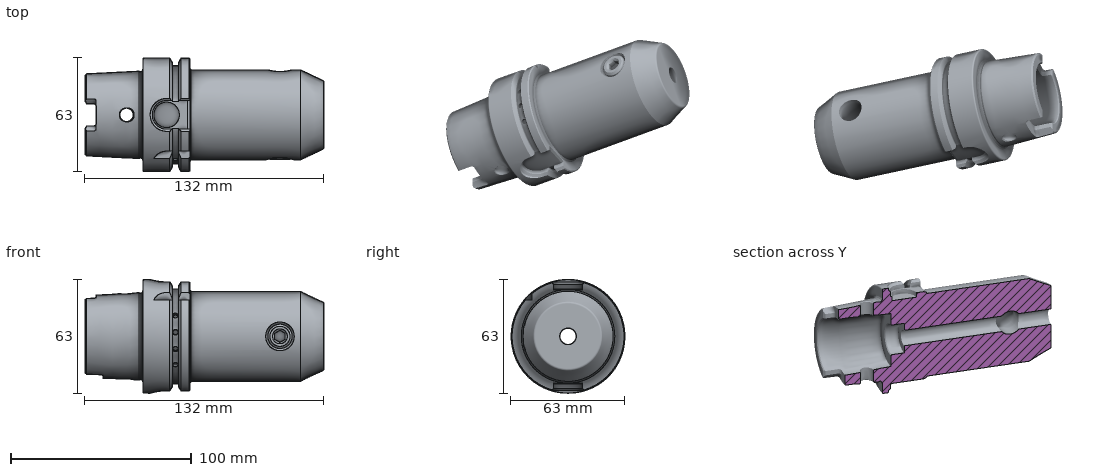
import cadquery as cq
import math


SHANK_END_RADIUS = 22.7
SHANK_SLOPE = 0.05
SHANK_CHAMFER = 0.8
UNDERCUT_START = 29.8
UNDERCUT_X = 30.8
UNDERCUT_RADIUS = 23.8
SHANK_FOOT_X = 31.5
SHANK_FOOT_RADIUS = 24.4
SHANK_FOOT_OUTER_RADIUS = 25.3

FLANGE_START = 32.0
FLANGE_END = 57.8
FLANGE_DIAMETER = 63.0
FLANGE_RADIUS = FLANGE_DIAMETER / 2
FLANGE_FILLET = 0.8
FLANGE_BACK_CHAMFER = 0.5

GROOVE_CENTRE = 49.9
GROOVE_FLOOR_WIDTH = 3.2
GROOVE_TOP_WIDTH = 6.3
GROOVE_RADIUS = 27.3
GROOVE_SLOPE_RADIUS = 28.8

COLLAR_RADIUS = 25.9
COLLAR_LENGTH = 0.8
BODY_RADIUS = 25.0
NOSE_START = 118.9
NOSE_RADIUS = 18.7
NOSE_EDGE_RADIUS = 1.2
TOTAL_LENGTH = 132.0

BORE_RADIUS = 16.9
BORE_STRAIGHT = 12.8
BORE_FLOOR_RADIUS = 15.7
BORE_DEPTH = 37.0
BORE_CHAMFER = 0.5
TUBE_SEAT_RADIUS = 9.2
TUBE_SEAT_DEPTH = 7.9
TUBE_SEAT_CHAMFER = 0.5
COOLANT_RADIUS = 4.5

SLOT_WIDTH = 12.3
SLOT_HALF_WIDTH = SLOT_WIDTH / 2
SLOT_FLARE_HEIGHT = 18.3
SLOT_CORNER_RADIUS = 1.6
SLOT_TOP_DEPTH = 6.1
SLOT_BOTTOM_DEPTH = 9.9
SLOT_MOUTH_WIDENING = 1.3
SLOT_MOUTH_LENGTH = 0.8

ACCESS_X = 22.8
ACCESS_RADIUS = 3.7
ACCESS_CHAMFER = 0.5

KEYWAY_X = 45.0
KEYWAY_HALF_WIDTH = 7.9
KEYWAY_FLOOR = 26.3
KEYWAY_CHAMFER = 1.2
KEYWAY_CHAMFER_HEIGHT = 28.8
KEYWAY_BEVEL_LENGTH = 1.3
KEYWAY_BEVEL_DROP = 0.5
CHIP_DIAMETER = 14.1
CHIP_DEPTH = 2.6

NOTCH_CUTTER_RADIUS = 8.0
NOTCH_WALL_Y = -20.0
NOTCH_FLOOR_Z = 20.2

BALANCE_DIAMETER = 2.9
BALANCE_DEPTH = 2.6
BALANCE_ANGLES = [25, 5, -15, -35]

SCREW_X = 107.7
SCREW_RADIUS = 6.7
SCREW_LENGTH = 15.8
SCREW_CHAMFER = 1.2
SCREW_FACE_Y = -24.7
SCREW_MOUTH_RADIUS = 7.9
SCREW_MOUTH_START = 23.6
HEX_FLATS = 5.8
HEX_DEPTH = 4.0
HEX_MOUTH_RADIUS = 4.1

OUTSIDE = 39.6


def revolved(points):
    """Solid turned about the X axis from (x, radius) points."""
    return cq.Workplane("XY").polyline(points).close().revolve(360, (0, 0, 0), (1, 0, 0))


def shank_radius(x):
    return SHANK_END_RADIUS + SHANK_SLOPE * x


def shank():
    return revolved([
        (0, 0),
        (0, SHANK_END_RADIUS - SHANK_CHAMFER),
        (SHANK_CHAMFER, shank_radius(SHANK_CHAMFER)),
        (UNDERCUT_START, shank_radius(UNDERCUT_START)),
        (UNDERCUT_X, UNDERCUT_RADIUS),
        (SHANK_FOOT_X, SHANK_FOOT_RADIUS),
        (FLANGE_START, SHANK_FOOT_OUTER_RADIUS),
        (FLANGE_START, 0),
    ])


def flange():
    disc = cq.Workplane("YZ", (FLANGE_START, 0, 0)).circle(FLANGE_RADIUS).extrude(FLANGE_END - FLANGE_START)
    disc = disc.faces("<X").edges().fillet(FLANGE_FILLET)
    disc = disc.faces(">X").edges().chamfer(FLANGE_BACK_CHAMFER)
    half_floor = GROOVE_FLOOR_WIDTH / 2
    half_top = GROOVE_TOP_WIDTH / 2
    groove = revolved([
        (GROOVE_CENTRE - half_floor, GROOVE_RADIUS),
        (GROOVE_CENTRE - half_floor, GROOVE_SLOPE_RADIUS),
        (GROOVE_CENTRE - half_top, FLANGE_RADIUS),
        (GROOVE_CENTRE - half_top, OUTSIDE),
        (GROOVE_CENTRE + half_top, OUTSIDE),
        (GROOVE_CENTRE + half_top, FLANGE_RADIUS),
        (GROOVE_CENTRE + half_floor, GROOVE_SLOPE_RADIUS),
        (GROOVE_CENTRE + half_floor, GROOVE_RADIUS),
    ])
    return disc.cut(groove)


def body():
    collar_end = FLANGE_END + COLLAR_LENGTH
    barrel = revolved([
        (FLANGE_START, 0),
        (FLANGE_START, COLLAR_RADIUS),
        (FLANGE_END, COLLAR_RADIUS),
        (collar_end, BODY_RADIUS),
        (NOSE_START, BODY_RADIUS),
        (TOTAL_LENGTH, NOSE_RADIUS),
        (TOTAL_LENGTH, 0),
    ])
    return barrel.faces(">X").edges().fillet(NOSE_EDGE_RADIUS)


def hollow():
    """Shank bore, coolant tube seat and coolant hole, all on the axis."""
    seat_end = BORE_DEPTH + TUBE_SEAT_DEPTH
    return revolved([
        (0, 0),
        (0, BORE_RADIUS + BORE_CHAMFER),
        (BORE_CHAMFER, BORE_RADIUS),
        (BORE_STRAIGHT, BORE_RADIUS),
        (BORE_DEPTH, BORE_FLOOR_RADIUS),
        (BORE_DEPTH, TUBE_SEAT_RADIUS),
        (BORE_DEPTH + TUBE_SEAT_CHAMFER, TUBE_SEAT_RADIUS - TUBE_SEAT_CHAMFER),
        (seat_end, TUBE_SEAT_RADIUS - TUBE_SEAT_CHAMFER),
        (seat_end, COOLANT_RADIUS),
        (TOTAL_LENGTH, COOLANT_RADIUS),
        (TOTAL_LENGTH, 0),
    ])


def drive_slot(depth):
    """Slot from the shank end through the +Z wall; its sides flare outward at 45 degrees."""
    flared = SLOT_HALF_WIDTH + OUTSIDE - SLOT_FLARE_HEIGHT
    slot = (
        cq.Workplane("YZ")
        .polyline([
            (-SLOT_HALF_WIDTH, 0),
            (-SLOT_HALF_WIDTH, SLOT_FLARE_HEIGHT),
            (-flared, OUTSIDE),
            (flared, OUTSIDE),
            (SLOT_HALF_WIDTH, SLOT_FLARE_HEIGHT),
            (SLOT_HALF_WIDTH, 0),
        ])
        .close()
        .extrude(depth)
    )
    slot = slot.faces(">X").edges("not |Y").fillet(SLOT_CORNER_RADIUS)
    mouth_half_width = SLOT_HALF_WIDTH + SLOT_MOUTH_WIDENING
    mouth = (
        cq.Workplane("XY")
        .polyline([
            (0, -mouth_half_width),
            (SLOT_MOUTH_LENGTH, -SLOT_HALF_WIDTH),
            (SLOT_MOUTH_LENGTH, SLOT_HALF_WIDTH),
            (0, mouth_half_width),
        ])
        .close()
        .extrude(OUTSIDE)
    )
    return slot.union(mouth)


def turned_over(shape):
    """The shape turned half a turn about the X axis."""
    return shape.rotate((0, 0, 0), (1, 0, 0), 180)


def countersunk_cutter(radius, mouth_radius, mouth_height):
    """Cutter along +Z from the axis, widening at 45 degrees up to mouth_radius at mouth_height."""
    return (
        cq.Workplane("XZ")
        .polyline([
            (0, 0),
            (radius, 0),
            (radius, mouth_height - (mouth_radius - radius)),
            (mouth_radius, mouth_height),
            (mouth_radius, OUTSIDE),
            (0, OUTSIDE),
        ])
        .close()
        .revolve(360, (0, 0, 0), (0, 1, 0))
    )


def access_hole():
    cutter = countersunk_cutter(ACCESS_RADIUS, ACCESS_RADIUS + ACCESS_CHAMFER, shank_radius(ACCESS_X))
    return cutter.translate((ACCESS_X, 0, 0))


def keyway():
    """Round-ended keyway in the +Z side of the flange, open towards +X, with 45 degree upper edges."""
    def outline(height, half_width):
        run = FLANGE_END + OUTSIDE
        return (
            cq.Workplane("XY", (0, 0, height))
            .moveTo(run, half_width)
            .lineTo(KEYWAY_X, half_width)
            .threePointArc((KEYWAY_X - half_width, 0), (KEYWAY_X, -half_width))
            .lineTo(run, -half_width)
            .close()
        )

    straight = outline(KEYWAY_FLOOR, KEYWAY_HALF_WIDTH).extrude(OUTSIDE - KEYWAY_FLOOR)
    chamfer = outline(KEYWAY_CHAMFER_HEIGHT, KEYWAY_HALF_WIDTH).extrude(KEYWAY_CHAMFER, taper=-45)
    wide_start = KEYWAY_CHAMFER_HEIGHT + KEYWAY_CHAMFER
    wide = outline(wide_start, KEYWAY_HALF_WIDTH + KEYWAY_CHAMFER).extrude(OUTSIDE - wide_start)
    return straight.union(chamfer).union(wide)


def keyway_bevel():
    """Wedge that bevels the +X end of the upper keyway floor."""
    return (
        cq.Workplane("XZ")
        .polyline([
            (FLANGE_END - KEYWAY_BEVEL_LENGTH, KEYWAY_FLOOR),
            (FLANGE_END, KEYWAY_FLOOR - KEYWAY_BEVEL_DROP),
            (FLANGE_END, KEYWAY_FLOOR),
        ])
        .close()
        .extrude(KEYWAY_HALF_WIDTH, both=True)
    )


def chip_pocket():
    return (
        cq.Workplane("XY", (KEYWAY_X, 0, KEYWAY_FLOOR - CHIP_DEPTH))
        .circle(CHIP_DIAMETER / 2)
        .extrude(OUTSIDE)
    )


def orientation_notch():
    centre_y = NOTCH_WALL_Y - NOTCH_CUTTER_RADIUS
    workplane = cq.Workplane("XY", (KEYWAY_X, centre_y, NOTCH_FLOOR_Z))
    end = workplane.circle(NOTCH_CUTTER_RADIUS).extrude(OUTSIDE)
    run = workplane.rect(OUTSIDE, 2 * NOTCH_CUTTER_RADIUS).extrude(OUTSIDE).translate((OUTSIDE / 2, 0, 0))
    return end.union(run)


def balance_hole(angle):
    """Radial hole in the groove floor, at an angle above the -Y direction."""
    hole = (
        cq.Workplane("XZ", (GROOVE_CENTRE, -(GROOVE_RADIUS - BALANCE_DEPTH), 0))
        .circle(BALANCE_DIAMETER / 2)
        .extrude(BALANCE_DEPTH + 1.3)
    )
    return hole.rotate((0, 0, 0), (1, 0, 0), -angle)


def screw_hole():
    """Cross hole through the body, countersunk on the -Y side."""
    cutter = countersunk_cutter(SCREW_RADIUS, SCREW_MOUTH_RADIUS, SCREW_MOUTH_START)
    through = cq.Workplane("XY").circle(SCREW_RADIUS).extrude(-OUTSIDE)
    return cutter.union(through).rotate((0, 0, 0), (1, 0, 0), 90).translate((SCREW_X, 0, 0))


def make_holder():
    holder = shank().union(flange()).union(body())
    holder = holder.cut(hollow())
    holder = holder.cut(drive_slot(SLOT_TOP_DEPTH)).cut(turned_over(drive_slot(SLOT_BOTTOM_DEPTH)))
    holder = holder.cut(access_hole()).cut(turned_over(access_hole()))
    holder = holder.cut(keyway()).cut(turned_over(keyway()))
    holder = holder.cut(keyway_bevel()).cut(turned_over(keyway_bevel()))
    holder = holder.cut(chip_pocket()).cut(orientation_notch())
    for angle in BALANCE_ANGLES:
        holder = holder.cut(balance_hole(angle))
    return holder.cut(screw_hole())


def make_screw():
    """Set screw with a hexagon socket in its -Y end."""
    face = cq.Workplane("XZ", (SCREW_X, SCREW_FACE_Y, 0))
    screw = face.circle(SCREW_RADIUS).extrude(-SCREW_LENGTH)
    screw = screw.faces("<Y").edges().chamfer(SCREW_CHAMFER)
    hex_radius = HEX_FLATS / math.sqrt(3)
    corners = [
        (hex_radius * math.sin(math.radians(60 * i)), hex_radius * math.cos(math.radians(60 * i)))
        for i in range(6)
    ]
    socket = face.polyline(corners).close().extrude(-HEX_DEPTH)
    socket_mouth = face.circle(HEX_MOUTH_RADIUS).extrude(-(HEX_MOUTH_RADIUS - HEX_FLATS / 2), taper=45)
    return screw.cut(socket).cut(socket_mouth)


holder = make_holder()
screw = make_screw()
result = cq.Compound.makeCompound([holder.val(), screw.val()])